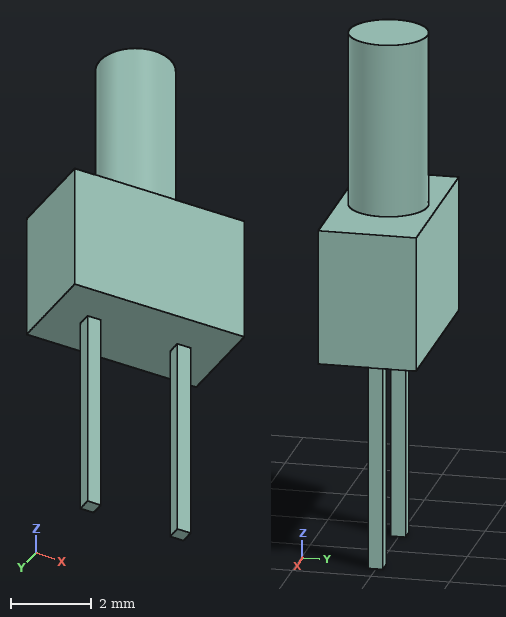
import cadquery as cq

body_length = 4.8
body_width = 2.5
body_height = 3.5

post_diameter = 2.0
post_height = 4.5

pin_side = 0.38
pin_length = 5.6
pin_pitch = 2.54


def make_body():
    return cq.Workplane("XY").rect(body_length, body_width).extrude(body_height)


def make_post():
    return (
        cq.Workplane("XY")
        .workplane(offset=body_height)
        .circle(post_diameter / 2)
        .extrude(post_height)
    )


def make_pin(x_position):
    return (
        cq.Workplane("XY")
        .center(x_position, 0)
        .rect(pin_side, pin_side)
        .extrude(-pin_length)
    )


result = make_body().union(make_post())
for side in (-1, 1):
    result = result.union(make_pin(side * pin_pitch / 2))